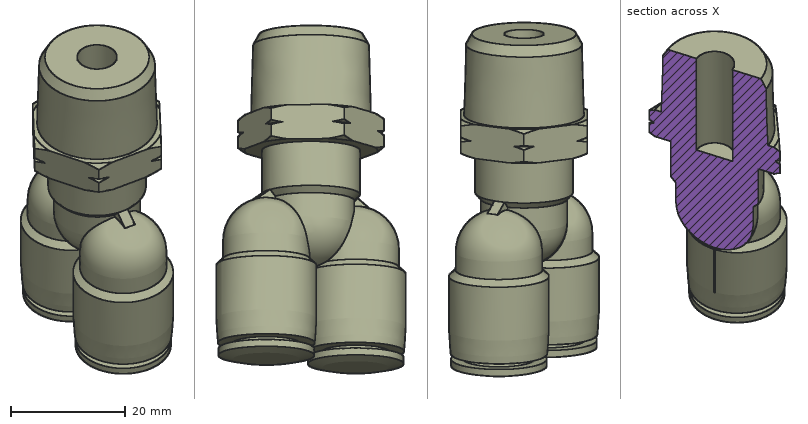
import cadquery as cq
import math

total_height = 58.6
hex_top = 44.05
hex_bottom = 38.0
neck_bottom = 30.1

thread_tip_radius = 9.15
thread_top_radius = 10.2
thread_base_radius = 10.55
thread_chamfer_height = 1.9
bore_diameter = 7.0

hex_corner_radius = 12.85
hex_chamfer_radius = 11.65
hex_chamfer_height = 0.6
notch_inner_radius = 11.95
notch_half_height = 0.4

neck_radius = 17.2 / 2
stem_radius = 7.6
stem_top = 29.0
stem_ball_height = 24.7

socket_radius = 8.8
socket_spacing = 2 * socket_radius
dome_radius = 7.6
dome_centre_height = 21.1
shoulder_top = 17.9
shoulder_bottom = 16.75
socket_taper_top = 7.15
socket_rim_top = 4.2
socket_rim_bottom = 2.9
rim_top_radius = 17.2 / 2
rim_bottom_radius = 17.0 / 2

collar_radius = 16.8 / 2
collar_top = 1.9
collar_chamfer_height = 0.65
collar_face_radius = 11.55 / 2
collar_neck_radius = 11.55 / 2
collar_cone_radius = 6.25
collar_cone_top = 2.3

rib_width = 2.05
rib_foot_offset = 2.3


def make_threaded_end():
    """Tapered cylinder with a chamfered tip."""
    return (
        cq.Workplane("XZ")
        .moveTo(0, hex_top)
        .lineTo(thread_base_radius, hex_top)
        .lineTo(thread_top_radius, total_height - thread_chamfer_height)
        .lineTo(thread_tip_radius, total_height)
        .lineTo(0, total_height)
        .close()
        .revolve(360, (0, 0, 0), (0, 1, 0))
    )


def make_hexagon():
    """Hexagon with its corners turned off at both ends and notched at mid height."""
    hex_middle = (hex_top + hex_bottom) / 2
    prism = (
        cq.Workplane("XY")
        .workplane(offset=hex_bottom)
        .polygon(6, 2 * hex_corner_radius)
        .extrude(hex_top - hex_bottom)
        .rotate((0, 0, 0), (0, 0, 1), 30)
    )
    turned_blank = (
        cq.Workplane("XZ")
        .moveTo(0, hex_bottom)
        .lineTo(hex_chamfer_radius, hex_bottom)
        .lineTo(hex_corner_radius, hex_bottom + hex_chamfer_height)
        .lineTo(hex_corner_radius, hex_middle - notch_half_height)
        .lineTo(notch_inner_radius, hex_middle)
        .lineTo(hex_corner_radius, hex_middle + notch_half_height)
        .lineTo(hex_corner_radius, hex_top - hex_chamfer_height)
        .lineTo(hex_chamfer_radius, hex_top)
        .lineTo(0, hex_top)
        .close()
        .revolve(360, (0, 0, 0), (0, 1, 0))
    )
    return prism.intersect(turned_blank)


def make_stem():
    """Neck, step down to the stem and its hemispherical lower end."""
    arc_reach = stem_radius * math.sqrt(0.5)
    return (
        cq.Workplane("XZ")
        .moveTo(0, hex_bottom)
        .lineTo(neck_radius, hex_bottom)
        .lineTo(neck_radius, neck_bottom)
        .lineTo(stem_radius, stem_top)
        .lineTo(stem_radius, stem_ball_height)
        .threePointArc((arc_reach, stem_ball_height - arc_reach), (0, stem_ball_height - stem_radius))
        .close()
        .revolve(360, (0, 0, 0), (0, 1, 0))
    )


def make_socket():
    """Domed socket with its release collar, centred on the Z axis."""
    arc_reach = dome_radius * math.sqrt(0.5)
    return (
        cq.Workplane("XZ")
        .moveTo(0, 0)
        .lineTo(collar_face_radius, 0)
        .lineTo(collar_radius, collar_chamfer_height)
        .lineTo(collar_radius, collar_top)
        .lineTo(collar_cone_radius, collar_top)
        .lineTo(collar_neck_radius, collar_cone_top)
        .lineTo(collar_neck_radius, socket_rim_bottom)
        .lineTo(rim_bottom_radius, socket_rim_bottom)
        .lineTo(rim_top_radius, socket_rim_top)
        .lineTo(socket_radius, socket_taper_top)
        .lineTo(socket_radius, shoulder_bottom)
        .lineTo(dome_radius, shoulder_top)
        .lineTo(dome_radius, dome_centre_height)
        .threePointArc((arc_reach, dome_centre_height + arc_reach), (0, dome_centre_height + dome_radius))
        .close()
        .revolve(360, (0, 0, 0), (0, 1, 0))
    )


def make_rib():
    """Sloping rib from the lower edge of the neck to the +X dome."""
    foot_x = socket_spacing / 2 + rib_foot_offset
    foot_z = dome_centre_height + math.sqrt(dome_radius**2 - rib_foot_offset**2)
    return (
        cq.Workplane("XZ")
        .moveTo(0, neck_bottom)
        .lineTo(neck_radius, neck_bottom)
        .lineTo(foot_x, foot_z)
        .lineTo(socket_spacing / 2, dome_centre_height)
        .lineTo(0, dome_centre_height)
        .close()
        .extrude(rib_width / 2, both=True)
    )


body = make_stem().union(make_hexagon()).union(make_threaded_end())
for side in (-1, 1):
    body = body.union(make_socket().translate((side * socket_spacing / 2, 0, 0)))

rib = make_rib()
body = body.union(rib).union(rib.mirror("YZ"))

bore = (
    cq.Workplane("XY")
    .workplane(offset=hex_bottom)
    .circle(bore_diameter / 2)
    .extrude(total_height - hex_bottom)
)
result = body.cut(bore)